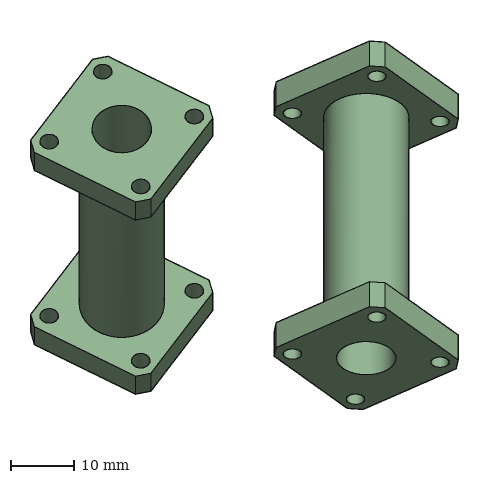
import cadquery as cq

length = 50.8
flange_side = 22.35
flange_thickness = 4.8
corner_chamfer = 1.8

tube_diameter = 13.5
bore_diameter = 9.4

bolt_diameter = 2.9
bolt_spacing_x = 17.0
bolt_spacing_y = 16.25


def make_flange(bottom_z):
    """Square flange with chamfered corners and four bolt holes."""
    plate = (
        cq.Workplane("XY", origin=(0, 0, bottom_z))
        .rect(flange_side, flange_side)
        .extrude(flange_thickness)
        .edges("|Z")
        .chamfer(corner_chamfer)
    )
    bolt_holes = (
        cq.Workplane("XY", origin=(0, 0, bottom_z))
        .rect(bolt_spacing_x, bolt_spacing_y, forConstruction=True)
        .vertices()
        .circle(bolt_diameter / 2)
        .extrude(flange_thickness)
    )
    return plate.cut(bolt_holes)


tube = cq.Workplane("XY").circle(tube_diameter / 2).extrude(length)
bore = cq.Workplane("XY").circle(bore_diameter / 2).extrude(length)

body = tube
for flange_bottom in (0, length - flange_thickness):
    body = body.union(make_flange(flange_bottom))

result = body.cut(bore)